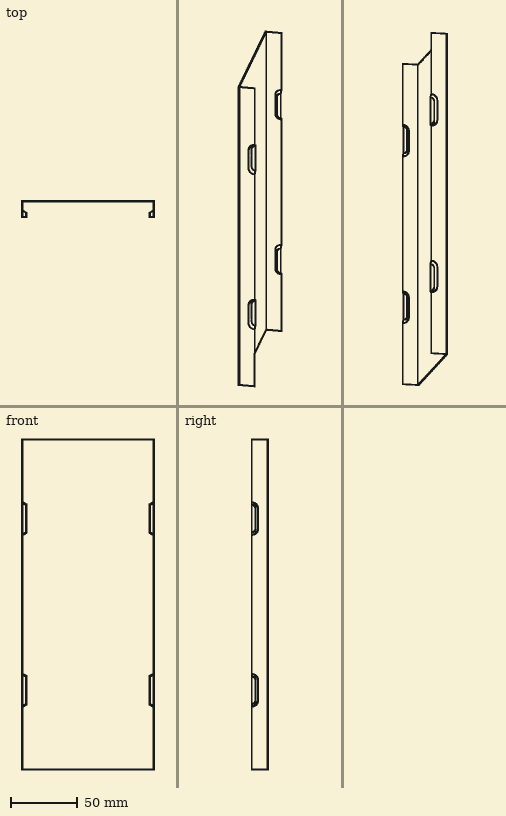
import cadquery as cq
import math

WIDTH = 100.0
FLANGE_DEPTH = 12.5
HEIGHT = 250.0
THICKNESS = 0.75

RECESS_LENGTH = 24.0
RECESS_REACH = 4.5
RECESS_CORNER_RADIUS = 4.5
RECESS_DEPTH = 3.0
WALL_TAPER_ANGLE = 30.0
RECESS_END_DISTANCE = 60.0

RECESS_HEIGHTS = (RECESS_END_DISTANCE, HEIGHT - RECESS_END_DISTANCE)


def envelope_block(width, depth):
    """Full-height block centred on X = 0, with its front face at Y = 0."""
    return cq.Workplane("XY").box(width, depth, HEIGHT, centered=(True, False, False))


def make_channel():
    """U-shaped channel with its web at the back and its free edges at Y = 0."""
    outer = envelope_block(WIDTH, FLANGE_DEPTH)
    inner = envelope_block(WIDTH - 2 * THICKNESS, FLANGE_DEPTH - THICKNESS)
    return outer.cut(inner)


def tapered_pad(center_z, growth, depth):
    """Rounded square pad with sloped walls, rising in +X from the left outer face, kept at Y >= 0.

    growth widens the mouth outline evenly on every side.
    The part of the square that overhangs the free edge is trimmed off.
    """
    width = RECESS_LENGTH + 2 * growth
    outline = cq.Sketch().rect(width, width).vertices().fillet(RECESS_CORNER_RADIUS + growth)
    center_y = RECESS_REACH - RECESS_LENGTH / 2
    pad = (
        cq.Workplane("YZ", origin=(-WIDTH / 2, center_y, center_z))
        .placeSketch(outline)
        .extrude(depth, taper=WALL_TAPER_ANGLE)
    )
    return pad.intersect(envelope_block(WIDTH, FLANGE_DEPTH))


def both_flanges(left_shape):
    """The shape on the left flange together with its mirror image on the right flange."""
    return left_shape.union(left_shape.mirror("YZ"))


def add_recess(body, center_z):
    """Press a recess of constant sheet thickness into both flanges at one height."""
    wall_growth = THICKNESS / math.cos(math.radians(WALL_TAPER_ANGLE))
    bulge = tapered_pad(center_z, wall_growth, RECESS_DEPTH + THICKNESS)
    hollow = tapered_pad(center_z, 0, RECESS_DEPTH)
    return body.union(both_flanges(bulge)).cut(both_flanges(hollow))


result = make_channel()
for recess_z in RECESS_HEIGHTS:
    result = add_recess(result, recess_z)